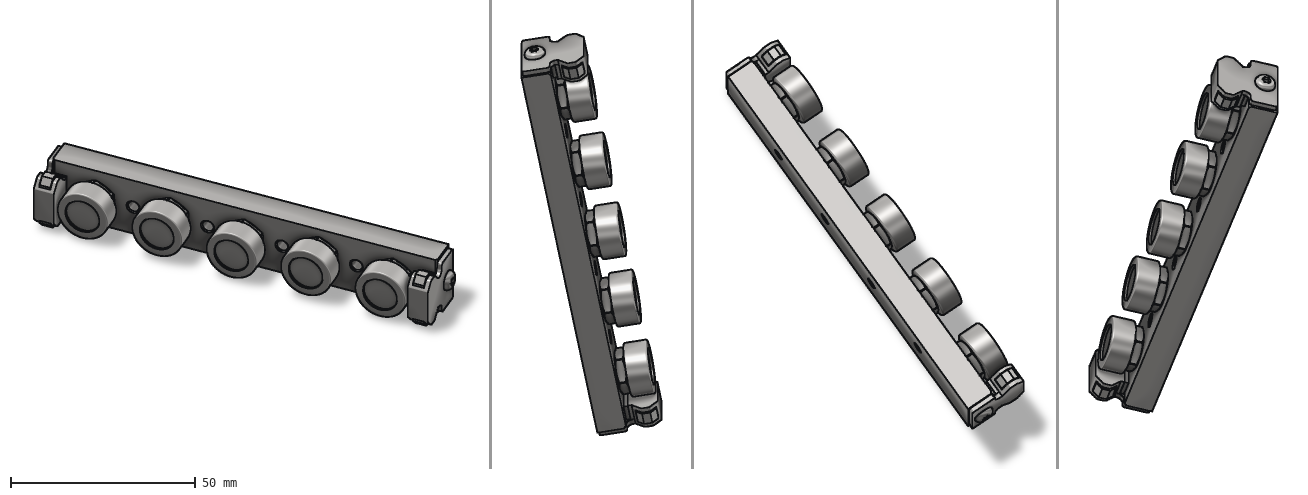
import cadquery as cq
import math


overall_length = 119.8
rail_length = 114.0
rail_depth = 8.0
rail_height = 18.0
rail_chamfer = 0.6

pitch = 22.0
button_count = 5
button_radius = 7.4
button_back = 10.8
button_front = 17.3
button_heights = (-0.2, 0.5)
button_back_fillet = 0.6
button_front_fillet = 0.5
dimple_radius = 5.0
dimple_depth = 0.7
nut_across_flats = 11.1
nut_turned_radius = 6.4
nut_end_radius = 5.4
nut_chamfer_height = 0.5
hole_diameter = 3.2
hole_mouth_diameter = 4.0

plate_thickness = 1.4
plate_back = 0.4
plate_half_height = 8.3
plate_corner_fillet = 0.7
bracket_width = 6.0
bracket_front = 17.5
head_half_height = 7.5
head_flat_start = 13.0
head_flat_end = 15.2
head_front_half_height = 5.0
head_fillet = 1.0
head_front_fillet = 0.5
neck_half_height = 4.9
neck_fillet = 1.8
neck_inset = 0.4
neck_length = 1.2
pad_rise = 0.7
pad_width = 3.2
pad_back = 11.1
pad_front = 16.9

screw_head_radius = 2.9
socket_across_flats = 2.0
socket_depth = 0.8

rail_end = rail_length / 2
plate_face = rail_end + plate_thickness
nut_corner_radius = nut_across_flats / math.sqrt(3)


def make_rail():
    rail = cq.Workplane("XY").box(rail_length, rail_depth, rail_height).translate((0, -rail_depth / 2, 0))
    rail = rail.faces("<Y").edges("|Z").chamfer(rail_chamfer)
    mouth_chamfer = (hole_mouth_diameter - hole_diameter) / 2
    for index in range(button_count - 1):
        hole_x = (index - (button_count - 2) / 2) * pitch
        hole = cq.Workplane("XZ", origin=(hole_x, 0, 0)).circle(hole_diameter / 2).extrude(rail_depth)
        mouth = (
            cq.Workplane("XZ", origin=(hole_x, -rail_depth, 0))
            .circle(hole_mouth_diameter / 2)
            .extrude(-mouth_chamfer, taper=45)
        )
        rail = rail.cut(hole).cut(mouth)
    return rail


def make_nut():
    """Hexagon with a corner pointing up, its corners turned down and both ends coned."""
    length = button_back - rail_depth
    hexagon = (
        cq.Workplane("XZ", origin=(0, -rail_depth, 0))
        .polygon(6, 2 * nut_corner_radius)
        .extrude(length)
        .rotate((0, 0, 0), (0, 1, 0), 30)
    )
    turned = (
        cq.Workplane("XY")
        .moveTo(0, -rail_depth)
        .lineTo(nut_end_radius, -rail_depth)
        .lineTo(nut_turned_radius, -rail_depth - nut_chamfer_height)
        .lineTo(nut_turned_radius, -button_back + nut_chamfer_height)
        .lineTo(nut_end_radius, -button_back)
        .lineTo(0, -button_back)
        .close()
        .revolve(360, (0, 0, 0), (0, 1, 0))
    )
    return hexagon.intersect(turned)


def make_button():
    cap = (
        cq.Workplane("XZ", origin=(0, -button_back, 0))
        .circle(button_radius)
        .extrude(button_front - button_back)
    )
    cap = cap.faces(">Y").edges().fillet(button_back_fillet)
    cap = cap.faces("<Y").edges().fillet(button_front_fillet)
    dimple = (
        cq.Workplane("XZ", origin=(0, -button_front, 0))
        .circle(dimple_radius)
        .extrude(-dimple_depth)
    )
    return cap.cut(dimple).union(make_nut())


def extrude_from(outline, start_x, width):
    """Close a (depth, height) outline, mirror-symmetric about Z = 0, and extrude it along +X."""
    points = [(-depth, height) for depth, height in outline]
    points += [(y, -z) for y, z in reversed(points)]
    return cq.Workplane("YZ", origin=(start_x, 0, 0)).polyline(points).close().extrude(width)


def round_edges(body, depth, half_height, radius):
    """Fillet the X-direction edges at the given depth, above and below Z = 0."""
    middle_x = body.val().BoundingBox().center.x
    for height in (half_height, -half_height):
        nearest = cq.selectors.NearestToPointSelector((middle_x, -depth, height))
        body = body.edges(nearest).fillet(radius)
    return body


def round_head(body):
    body = round_edges(body, head_flat_start, head_half_height, head_fillet)
    body = round_edges(body, head_flat_end, head_half_height, head_fillet)
    return round_edges(body, bracket_front, head_front_half_height, head_front_fillet)


def make_left_bracket():
    flank_foot = head_flat_start - (head_half_height - neck_half_height)
    head_outline = [
        (flank_foot, neck_half_height),
        (head_flat_start, head_half_height),
        (head_flat_end, head_half_height),
        (bracket_front, head_front_half_height),
    ]
    plate_outline = [
        (plate_back, plate_half_height),
        (rail_depth, plate_half_height),
        (rail_depth, neck_half_height),
    ]
    plate = extrude_from(plate_outline + head_outline, -plate_face, plate_thickness)
    plate = round_edges(plate, plate_back, plate_half_height, plate_corner_fillet)
    plate = round_edges(plate, rail_depth, plate_half_height, plate_corner_fillet)
    plate = round_edges(plate, rail_depth, neck_half_height, neck_fillet)
    plate = round_head(plate)

    neck_end = rail_depth + neck_length
    neck_top = neck_half_height - neck_inset
    neck_outline = [(rail_depth, neck_top), (neck_end, neck_top)]
    neck = extrude_from(neck_outline, -plate_face, bracket_width - neck_inset)
    block_outline = [(neck_end, neck_half_height)] + head_outline
    block = round_head(extrude_from(block_outline, -plate_face, bracket_width))

    front_slope = (head_half_height - head_front_half_height) / (bracket_front - head_flat_end)
    pad_height = head_half_height + pad_rise
    pad_outline = [
        (pad_back, pad_height - (head_flat_start - pad_back)),
        (head_flat_start, pad_height),
        (head_flat_end, pad_height),
        (pad_front, pad_height - front_slope * (pad_front - head_flat_end)),
    ]
    pad = extrude_from(pad_outline, -rail_end, pad_width)
    return plate.union(block).union(neck).union(pad)


def make_left_screw():
    """Domed hexagon-socket head, revolved about Y and then turned to point along -X."""
    head_height = overall_length / 2 - plate_face
    flat_radius = screw_head_radius - head_height
    rim_offset = head_height * math.sqrt(0.5)
    head = (
        cq.Workplane("XY")
        .lineTo(screw_head_radius, 0)
        .threePointArc((flat_radius + rim_offset, rim_offset), (flat_radius, head_height))
        .lineTo(0, head_height)
        .close()
        .revolve(360, (0, 0, 0), (0, 1, 0))
    )
    socket = (
        cq.Workplane("XZ", origin=(0, head_height, 0))
        .polygon(6, 2 * socket_across_flats / math.sqrt(3))
        .extrude(socket_depth)
    )
    head = head.cut(socket)
    return head.rotate((0, 0, 0), (0, 0, 1), 90).translate((-plate_face, -rail_depth / 2, 0))


rail = make_rail()

buttons = []
for index in range(button_count):
    button_x = (index - (button_count - 1) / 2) * pitch
    button_z = button_heights[index % len(button_heights)]
    buttons.append(make_button().translate((button_x, 0, button_z)))

left_bracket = make_left_bracket()
left_screw = make_left_screw()
brackets = [left_bracket, left_bracket.mirror("YZ")]
screws = [left_screw, left_screw.mirror("YZ")]

result = cq.Compound.makeCompound(
    [rail.val()] + [body.val() for body in buttons + brackets + screws]
)